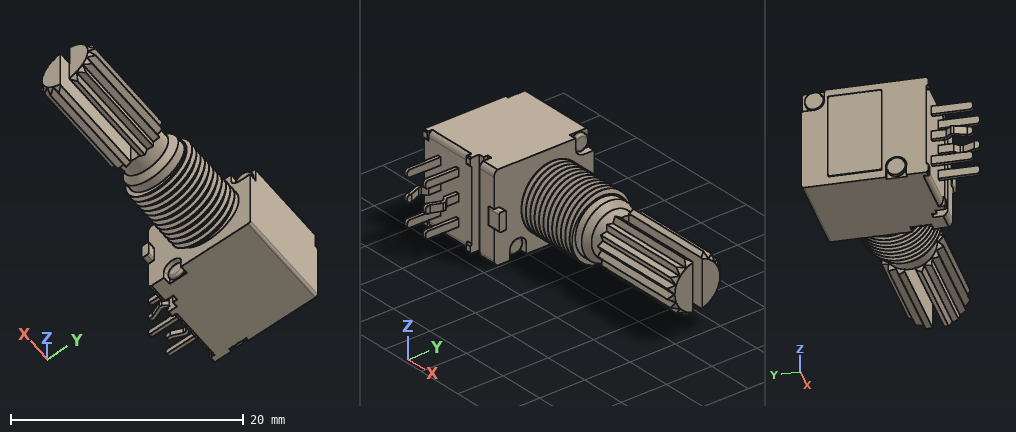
import cadquery as cq
import math


HOUSING_START = 0.12
HOUSING_END = 9.68
HALF_HEIGHT = 4.75
BACK_Y = 4.78
FRONT_Y = -6.33
FRONT_ROUND = 0.65
FRONT_EDGE_Y = -5.95
BACK_ROUND = 0.27

PANEL_BACK_Y = 2.38
PANEL_FRONT_Y = -2.4
PANEL_HALF_HEIGHT = 3.98
PANEL_CORNER = 0.15

FOOT_Y = -6.5
FOOT_SPANS = ((HOUSING_START, 0.75), (6.1, 6.65))
FOOT_INNER_Z = 3.8
FOOT_BEVEL = 0.12
FOOT_SIDE_BEVEL = FRONT_Y - FOOT_Y
FOOT_ROOT_Y = -5.65

GROOVE_START = FOOT_SPANS[1][1]
GROOVE_STEP = 7.22
GROOVE_END = 7.72
GROOVE_SHALLOW_Y = -5.5
GROOVE_DEEP_Y = -5.05

CORNER_RIVET = (3.62, 3.77)
EDGE_RIVET = (-3.65, -3.77)
POCKET_RADIUS = 0.92
RIVET_RADIUS = 0.83
REAR_POCKET_DEPTH = 0.33
NOSE_POCKET_DEPTH = 0.8
NOSE_HEAD_RADIUS = 0.9
NOSE_HEAD_HEIGHT = 0.42
NOSE_HEAD_ROUND = 0.25

TAB_START = 8.97
TAB_END = 10.48
TAB_BACK_Y = -5.6
TAB_FRONT_Y = -6.42
TAB_WIDTH = 1.95
TAB_ROUND = 0.193

PIN_ROW_STARTS = (2.0, 4.48)
PIN_PITCH = 2.5
PIN_WIDTH = 0.8
PIN_THICKNESS = 0.4
PIN_TIP_Y = -10.0
PIN_TIP_ROUND = 0.3
PIN_EMBED = 0.3
PIN_ROOT_Y = FRONT_Y + PIN_EMBED
KINK_OFFSET = 0.45
KINK_START_Y = -7.65
KINK_PEAK_Y = -8.15
KINK_PEAK_END_Y = -8.4
KINK_END_Y = -9.5

THREAD_END = 16.7
THREAD_RADIUS = 3.53
THREAD_ROOT_RADIUS = 3.12
THREAD_TURNS = 11.7
THREAD_PITCH = (THREAD_END - HOUSING_END) / THREAD_TURNS
THREAD_START = 9.1
THREAD_BASE_WIDTH = 0.53
THREAD_CREST_WIDTH = 0.05
THREAD_OVERLAP = 0.1

SHAFT_RADIUS = 3.0
COLLAR_END = 17.55
NECK_START = 18.18
NECK_RADIUS = 2.4

SPLINE_START = 19.7
SPLINE_END = 29.7
SPLINE_TEETH = 18
SPLINE_ROOT_RADIUS = 2.52
SPLINE_CHAMFER = 0.5
SLOT_WIDTH = 1.0


def box(x_span, y_span, z_span):
    """Box between pairs of coordinates on each axis."""
    spans = (x_span, y_span, z_span)
    sizes = [max(span) - min(span) for span in spans]
    corner = tuple(min(span) for span in spans)
    return cq.Workplane("XY").box(*sizes, centered=False).translate(corner)


def yz_plane(x):
    """Sketch plane facing +X, with Y and Z as its own axes."""
    return cq.Workplane("YZ", origin=(x, 0, 0))


def make_housing():
    length = HOUSING_END - HOUSING_START
    round_centre_y = FRONT_Y + FRONT_ROUND
    edge_rise = math.sqrt(FRONT_ROUND**2 - (FRONT_EDGE_Y - round_centre_y) ** 2)
    round_z = HALF_HEIGHT - edge_rise
    mid_angle = math.atan2(edge_rise, round_centre_y - FRONT_EDGE_Y) / 2
    mid_y = round_centre_y - FRONT_ROUND * math.cos(mid_angle)
    mid_z = round_z + FRONT_ROUND * math.sin(mid_angle)
    return (
        yz_plane(HOUSING_START)
        .moveTo(BACK_Y, -HALF_HEIGHT)
        .lineTo(BACK_Y, HALF_HEIGHT)
        .lineTo(FRONT_EDGE_Y, HALF_HEIGHT)
        .threePointArc((mid_y, mid_z), (FRONT_Y, round_z))
        .lineTo(FRONT_Y, -round_z)
        .threePointArc((mid_y, -mid_z), (FRONT_EDGE_Y, -HALF_HEIGHT))
        .close()
        .extrude(length)
        .edges("|X and >Y")
        .fillet(BACK_ROUND)
    )


def make_foot(start, end, side):
    """Bevelled foot at the upper (side = 1) or lower (side = -1) front edge."""
    profile = [
        (FOOT_ROOT_Y, HALF_HEIGHT),
        (FOOT_Y + FOOT_BEVEL, HALF_HEIGHT),
        (FOOT_Y, HALF_HEIGHT - FOOT_BEVEL),
        (FOOT_Y, FOOT_INNER_Z + FOOT_SIDE_BEVEL),
        (FRONT_Y, FOOT_INNER_Z),
        (FOOT_ROOT_Y, FOOT_INNER_Z),
    ]
    points = [(y, side * z) for y, z in profile]
    return yz_plane(start).polyline(points).close().extrude(end - start)


def make_groove():
    z_span = (-HALF_HEIGHT, HALF_HEIGHT)
    shallow = box((GROOVE_START, GROOVE_END), (FOOT_Y, GROOVE_SHALLOW_Y), z_span)
    deep = box((GROOVE_STEP, GROOVE_END), (FOOT_Y, GROOVE_DEEP_Y), z_span)
    return shallow.union(deep)


def make_corner_pocket(start, end):
    """Pocket open to the upper back corner, round on its inner corner."""
    y, z = CORNER_RIVET
    x_span = (start, end)
    inner_y = y - POCKET_RADIUS
    inner_z = z - POCKET_RADIUS
    round_part = yz_plane(start).center(y, z).circle(POCKET_RADIUS).extrude(end - start)
    upper_part = box(x_span, (inner_y, BACK_Y), (z, HALF_HEIGHT))
    back_part = box(x_span, (y, BACK_Y), (inner_z, HALF_HEIGHT))
    return round_part.union(upper_part).union(back_part)


def make_edge_pocket(start, end):
    """Pocket open to the lower face, with a round inner end."""
    y, z = EDGE_RIVET
    round_part = yz_plane(start).center(y, z).circle(POCKET_RADIUS).extrude(end - start)
    open_part = box((start, end), (y - POCKET_RADIUS, y + POCKET_RADIUS), (-HALF_HEIGHT, z))
    return round_part.union(open_part)


def make_rear_rivet(centre):
    return yz_plane(HOUSING_START).center(*centre).circle(RIVET_RADIUS).extrude(REAR_POCKET_DEPTH)


def make_nose_rivet(centre):
    floor_x = HOUSING_END - NOSE_POCKET_DEPTH
    head = yz_plane(floor_x).center(*centre).circle(NOSE_HEAD_RADIUS).extrude(NOSE_HEAD_HEIGHT)
    return head.faces(">X").edges().fillet(NOSE_HEAD_ROUND)


def make_panel():
    panel = box(
        (0, HOUSING_START),
        (PANEL_FRONT_Y, PANEL_BACK_Y),
        (-PANEL_HALF_HEIGHT, PANEL_HALF_HEIGHT),
    )
    return panel.edges("|X").fillet(PANEL_CORNER)


def make_tab():
    tab = box((TAB_START, TAB_END), (TAB_FRONT_Y, TAB_BACK_Y), (-TAB_WIDTH / 2, TAB_WIDTH / 2))
    return tab.edges("|X").fillet(TAB_ROUND)


def make_pin(outline, z):
    """Flat pin from its XY outline, rounded at the tip."""
    pin = cq.Workplane("XY", origin=(0, 0, z)).polyline(outline).close()
    pin = pin.extrude(PIN_WIDTH / 2, both=True)
    return pin.faces("<Y").edges("|X").fillet(PIN_TIP_ROUND)


def straight_outline(start):
    end = start + PIN_THICKNESS
    return [(start, PIN_ROOT_Y), (start, PIN_TIP_Y), (end, PIN_TIP_Y), (end, PIN_ROOT_Y)]


def kinked_outline(start, direction):
    """Pin bent sideways towards direction (+1 or -1) along X."""
    peak = start + direction * KINK_OFFSET
    one_side = [
        (start, PIN_ROOT_Y),
        (start, KINK_START_Y),
        (peak, KINK_PEAK_Y),
        (peak, KINK_PEAK_END_Y),
        (start, KINK_END_Y),
        (start, PIN_TIP_Y),
    ]
    other_side = [(x + PIN_THICKNESS, y) for x, y in reversed(one_side)]
    return one_side + other_side


def make_thread_ridge():
    """Right-handed helical ridge on the bushing, trimmed at the bushing's end."""
    inner_radius = THREAD_ROOT_RADIUS - THREAD_OVERLAP
    length = THREAD_END + THREAD_PITCH - THREAD_START
    half_base = THREAD_BASE_WIDTH / 2
    half_crest = THREAD_CREST_WIDTH / 2
    profile = [
        (inner_radius, -half_base),
        (THREAD_RADIUS, -half_crest),
        (THREAD_RADIUS, half_crest),
        (inner_radius, half_base),
    ]
    edges = [
        cq.Wire.makeHelix(THREAD_PITCH, length, radius, center=cq.Vector(0, 0, height))
        for radius, height in profile
    ]
    next_edges = edges[1:] + edges[:1]
    faces = [cq.Face.makeRuledSurface(edge, after) for edge, after in zip(edges, next_edges)]
    end_outlines = (
        [edge.startPoint() for edge in edges],
        [edge.endPoint() for edge in edges],
    )
    for outline in end_outlines:
        faces.append(cq.Face.makeFromWires(cq.Wire.makePolygon(outline, close=True)))
    ridge = cq.Workplane(cq.Solid.makeSolid(cq.Shell.makeShell(faces)))
    ridge = ridge.rotate((0, 0, 0), (1, 1, 1), 120).translate((THREAD_START, 0, 0))
    envelope = yz_plane(HOUSING_START).circle(HALF_HEIGHT).extrude(THREAD_END - HOUSING_START)
    return ridge.intersect(envelope)


def make_shaft():
    """Threaded core, tapered collar and neck as one turned piece."""
    profile = [
        (TAB_START, 0),
        (TAB_START, THREAD_ROOT_RADIUS),
        (THREAD_END, THREAD_ROOT_RADIUS),
        (THREAD_END, SHAFT_RADIUS),
        (COLLAR_END, SHAFT_RADIUS),
        (NECK_START, NECK_RADIUS),
        (SPLINE_START, NECK_RADIUS),
        (SPLINE_START, 0),
    ]
    return cq.Workplane("XY").polyline(profile).close().revolve(360, (0, 0, 0), (1, 0, 0))


def make_spline():
    half_pitch = math.pi / SPLINE_TEETH
    outline = []
    for index in range(2 * SPLINE_TEETH):
        radius = SHAFT_RADIUS if index % 2 else SPLINE_ROOT_RADIUS
        angle = index * half_pitch
        outline.append((radius * math.cos(angle), radius * math.sin(angle)))
    length = SPLINE_END - SPLINE_START
    teeth = yz_plane(SPLINE_START).polyline(outline).close().extrude(length)
    blank = yz_plane(SPLINE_START).circle(SHAFT_RADIUS).extrude(length)
    blank = blank.faces(">X").chamfer(SPLINE_CHAMFER)
    slot = box(
        (SPLINE_START, SPLINE_END),
        (-SLOT_WIDTH / 2, SLOT_WIDTH / 2),
        (-SHAFT_RADIUS, SHAFT_RADIUS),
    )
    return teeth.intersect(blank).cut(slot)


result = make_housing()
for foot_start, foot_end in FOOT_SPANS:
    for foot_side in (-1, 1):
        result = result.union(make_foot(foot_start, foot_end, foot_side))
result = result.cut(make_groove())

pocket_spans = (
    (HOUSING_START, HOUSING_START + REAR_POCKET_DEPTH),
    (HOUSING_END - NOSE_POCKET_DEPTH, HOUSING_END),
)
for pocket_start, pocket_end in pocket_spans:
    result = result.cut(make_corner_pocket(pocket_start, pocket_end))
    result = result.cut(make_edge_pocket(pocket_start, pocket_end))
for rivet_centre in (CORNER_RIVET, EDGE_RIVET):
    result = result.union(make_rear_rivet(rivet_centre))
    result = result.union(make_nose_rivet(rivet_centre))
result = result.union(make_panel()).union(make_tab())

for row_start, kink_direction in zip(PIN_ROW_STARTS, (-1, 1)):
    for pin_z in (-PIN_PITCH, PIN_PITCH):
        result = result.union(make_pin(straight_outline(row_start), pin_z))
    result = result.union(make_pin(kinked_outline(row_start, kink_direction), 0))

bushing = make_thread_ridge().union(make_shaft())
result = result.union(bushing).union(make_spline())